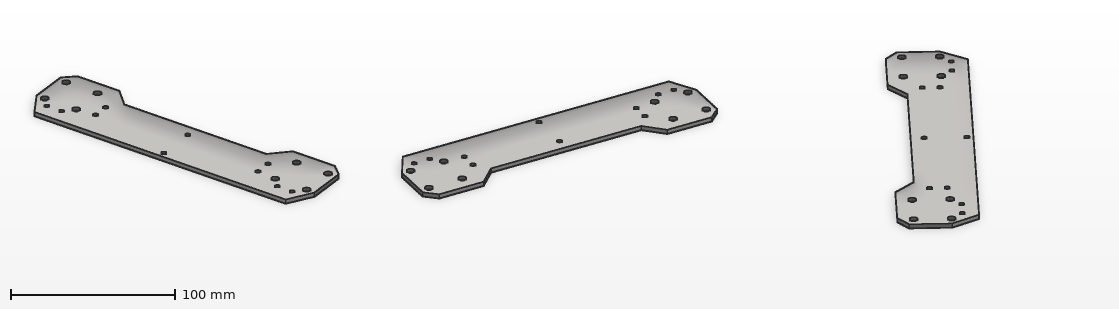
import cadquery as cq

length = 205.0
width = 50.0
thickness = 3.0
half_length = length / 2

upper_cut_x = 7.5
upper_cut_y = 7.0
lower_cut_x = 9.8
lower_cut_y = 16.8
recess_depth = 11.7
recess_top_half = 64.0
recess_bottom_half = recess_top_half - recess_depth

mount_diameter = 5.0
mount_pitch = 23.2
mount_outer_x = 96.5
mount_lower_y = 17.0

inner_diameter = 3.3
inner_x = 59.9
inner_lower_y = 18.2
inner_pitch = 10.9

corner_diameter = 3.0
corner_outer_x = 90.5
corner_pitch = 10.9
corner_y = 10.2

center_diameter = 3.3
center_lower_y = 4.0
center_pitch = 26.0


def make_plate():
    """Extrude the symmetric outline, drawn as its right half and mirrored."""
    right_half = [
        (recess_bottom_half, width - recess_depth),
        (recess_top_half, width),
        (half_length - upper_cut_x, width),
        (half_length, width - upper_cut_y),
        (half_length, lower_cut_y),
        (half_length - lower_cut_x, 0),
    ]
    left_half = [(-x, y) for x, y in reversed(right_half)]
    return cq.Workplane("XY").polyline(right_half + left_half).close().extrude(thickness)


def drill(plate, points, diameter):
    """Cut round through holes at the given points."""
    cutters = cq.Workplane("XY").pushPoints(points).circle(diameter / 2).extrude(thickness)
    return plate.cut(cutters)


result = make_plate()

for side in (-1, 1):
    mount_points = [
        (side * (mount_outer_x - column * mount_pitch), mount_lower_y + row * mount_pitch)
        for column in range(2)
        for row in range(2)
    ]
    inner_points = [(side * inner_x, inner_lower_y + row * inner_pitch) for row in range(2)]
    corner_points = [(side * (corner_outer_x - column * corner_pitch), corner_y) for column in range(2)]
    result = drill(result, mount_points, mount_diameter)
    result = drill(result, inner_points, inner_diameter)
    result = drill(result, corner_points, corner_diameter)

center_points = [(0, center_lower_y + row * center_pitch) for row in range(2)]
result = drill(result, center_points, center_diameter)